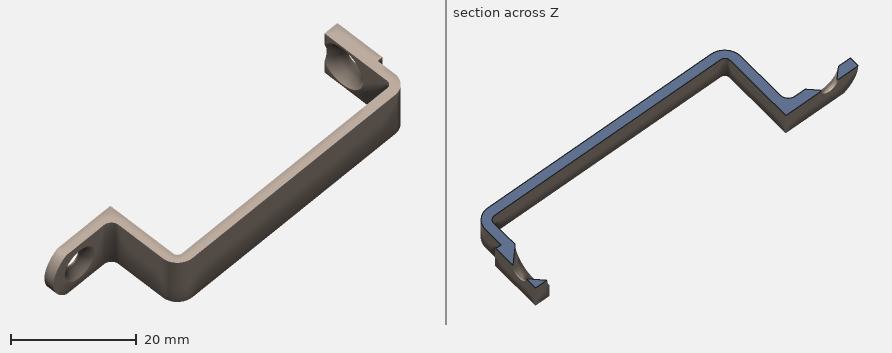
import cadquery as cq
import math

depth = 16.8
length = 67.0
height = 10.0

strip = 1.9
foot_thickness = 2.0
foot_length = 13.2
pad_length = 10.0
pad_step = 1.1
outer_radius = 3.0
foot_bend_radius = 3.4
inner_radius = 1.0
foot_fillet = 1.7

hole_diameter = 3.4
foot_hole_y = 5.95
tip_radius = 5.7
pad_hole_x = 4.0
pad_countersink = 9.05
foot_countersink = 6.85

arm_back = length - pad_step
arm_inner = arm_back - strip
foot_arm_inner = foot_length + strip
web_inner = depth - strip
mid_height = height / 2
hole_radius = hole_diameter / 2


def bent_strip():
    """Extruded bracket profile with its bends rounded."""
    outline = [
        (0, 0),
        (foot_thickness, 0),
        (foot_thickness, foot_length),
        (depth, foot_length),
        (depth, arm_back),
        (pad_length, arm_back),
        (pad_length, length),
        (0, length),
        (0, arm_inner),
        (web_inner, arm_inner),
        (web_inner, foot_arm_inner),
        (0, foot_arm_inner),
    ]
    body = cq.Workplane("XY").polyline(outline).close().extrude(height)
    bends = [
        (depth, foot_length, foot_bend_radius),
        (depth, arm_back, outer_radius),
        (web_inner, arm_inner, inner_radius),
        (web_inner, foot_arm_inner, inner_radius),
        (foot_thickness, foot_length, foot_fillet),
    ]
    for x, y, radius in bends:
        corner = cq.selectors.NearestToPointSelector((x, y, mid_height))
        body = body.edges("|Z").edges(corner).fillet(radius)
    return body


def tip_waste():
    """Material outside the arc that rounds the end of the foot."""
    shoulder_y = tip_radius - math.sqrt(tip_radius**2 - mid_height**2)
    return (
        cq.Workplane("YZ")
        .moveTo(shoulder_y, 0)
        .threePointArc((0, mid_height), (shoulder_y, height))
        .lineTo(0, height)
        .lineTo(0, 0)
        .close()
        .extrude(foot_thickness)
    )


def countersunk_hole(opening, thickness):
    """Cutter along +Y from the origin: a 90 degree countersink, then a plain hole."""
    opening_radius = opening / 2
    cone_depth = opening_radius - hole_radius
    return (
        cq.Workplane("XY")
        .lineTo(opening_radius, 0)
        .lineTo(hole_radius, cone_depth)
        .lineTo(hole_radius, thickness)
        .lineTo(0, thickness)
        .close()
        .revolve(360, (0, 0, 0), (0, 1, 0))
    )


pad_hole = countersunk_hole(pad_countersink, length - arm_inner).translate(
    (pad_hole_x, arm_inner, mid_height)
)
foot_hole = (
    countersunk_hole(foot_countersink, foot_thickness)
    .rotate((0, 0, 0), (0, 0, 1), 90)
    .translate((foot_thickness, foot_hole_y, mid_height))
)

result = bent_strip().cut(tip_waste()).cut(foot_hole).cut(pad_hole)